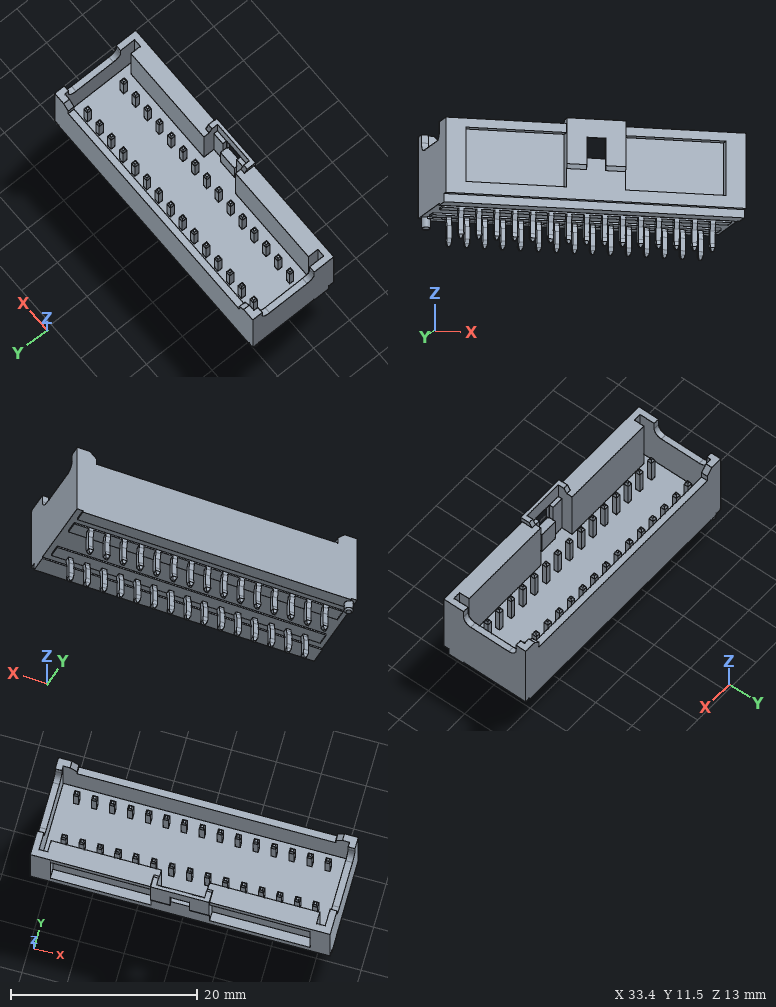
import cadquery as cq

length = 33.4
depth = 11.3
height = 9.15
floor_top = 2.57
end_wall = 0.77
back_wall = 0.8
front_wall = 2.1

underside_rise = 0.2
front_step_depth = 0.7
front_step_height = 0.9
front_bar_back = 2.75
back_rail_depth = 1.35
pin_rail_depth = 1.45
rail_end_inset = 0.67

end_notch_front = 2.75
end_notch_back = depth - 1.35
end_notch_depth = 1.95
end_notch_radius = 1.0
back_notch_depth = 1.55
back_notch_bevel = 0.77
back_notch_half_top = length / 2 - 1.55

corner_slot_width = 0.97
corner_slot_front = 0.8
panel_end_margin = 2.25
panel_bottom = 2.2
panel_top = 8.15
panel_depth = 1.05

tower_half = 3.27
tower_top = 9.75
tower_bottom = 4.2
tower_projection = 0.2
tower_bevel_height = 0.5
tower_arm_back = 1.37
tower_arm_bevel = 0.4
channel_half = 2.67
channel_front = 0.2
channel_step_back = 0.7
window_half = 1.07
window_bottom = 5.5
window_top = 7.7
sill_half = 1.17
sill_back = 1.05

pins_per_row = 15
row_length = 28.0
pin_pitch = row_length / (pins_per_row - 1)
row_spacing = 5.05
pin_width = 0.57
pin_top = 5.85
pin_tip_height = 0.35
pin_tip_width = 0.27
tail_bottom = -3.2
tail_point_top = -2.8
tail_bow_bottom = -2.35
tail_bow_top = -0.97
tail_bend_top = -0.27
tail_bow = 0.17
tail_end_shift = 0.07
back_row_y = depth - 2.37
front_row_y = back_row_y - row_spacing

peg_diameter = 1.0
peg_x = -length / 2 + 0.67
peg_y = depth - 0.75
peg_bottom = -1.15
peg_chamfer = 0.2


def block(x0, x1, y0, y1, z0, z1):
    """Box given by its limits along each axis."""
    return cq.Workplane("XY").box(x1 - x0, y1 - y0, z1 - z0, centered=False).translate((x0, y0, z0))


def extrude_along_x(points, x0, x1):
    """Extrude a closed (y, z) outline from x0 to x1."""
    return cq.Workplane("YZ").polyline(points).close().extrude(x1 - x0).translate((x0, 0, 0))


def make_shell():
    """Open tray with its rails, without the tower."""
    half = length / 2
    shell = block(-half, half, 0, depth, underside_rise, height)
    shell = shell.union(block(-half, half, 0, front_bar_back, 0, underside_rise))
    shell = shell.cut(block(-half, half, 0, front_step_depth, 0, front_step_height))
    inner_half = half - end_wall
    inner_back = depth - back_wall
    shell = shell.cut(block(-inner_half, inner_half, front_wall, inner_back, floor_top, height))

    rail_half = half - rail_end_inset
    back_pin_rail = back_row_y + pin_width / 2 - pin_rail_depth
    front_pin_rail = front_row_y - pin_width / 2
    rails = (
        (depth - back_rail_depth, back_rail_depth),
        (back_pin_rail, pin_rail_depth),
        (front_pin_rail, pin_rail_depth),
    )
    for rail_front, rail_depth in rails:
        rail = block(-rail_half, rail_half, rail_front, rail_front + rail_depth, 0, underside_rise)
        shell = shell.union(rail)
    return shell


def cut_rims(body):
    """Lower the rims of both end walls and of the back wall."""
    end_notch = block(
        -length / 2, length / 2, end_notch_front, end_notch_back, height - end_notch_depth, height
    )
    end_notch = end_notch.edges("|X and <Z").fillet(end_notch_radius)
    body = body.cut(end_notch)
    half_bottom = back_notch_half_top - back_notch_bevel
    back_notch = (
        cq.Workplane("XZ")
        .moveTo(-back_notch_half_top, height)
        .lineTo(back_notch_half_top, height)
        .lineTo(half_bottom, height - back_notch_bevel)
        .lineTo(half_bottom, height - back_notch_depth)
        .lineTo(-half_bottom, height - back_notch_depth)
        .lineTo(-half_bottom, height - back_notch_bevel)
        .close()
        .extrude(-back_wall)
        .translate((0, depth - back_wall, 0))
    )
    return body.cut(back_notch)


def cut_front_wall(body):
    """Corner slots and the sunken panels on both sides of the tower."""
    slot_outer = length / 2 - end_wall
    slot_inner = slot_outer - corner_slot_width
    panel_outer = length / 2 - panel_end_margin
    for side in (-1, 1):
        slot_limits = sorted((side * slot_inner, side * slot_outer))
        panel_limits = sorted((side * tower_half, side * panel_outer))
        body = body.cut(block(*slot_limits, corner_slot_front, front_wall, floor_top, height))
        body = body.cut(block(*panel_limits, 0, panel_depth, panel_bottom, panel_top))
    return body


def add_tower(body):
    """Tower with bevelled arms, an inner channel and a latch window."""
    outline = [
        (-tower_projection, tower_bottom + tower_bevel_height),
        (-tower_projection, tower_top),
        (tower_arm_back - tower_arm_bevel, tower_top),
        (tower_arm_back, height),
        (tower_arm_back, tower_bottom),
        (0, tower_bottom),
    ]
    body = body.union(extrude_along_x(outline, -tower_half, tower_half))

    body = body.cut(block(-channel_half, channel_half, channel_front, front_wall, window_top, tower_top))
    body = body.cut(block(-channel_half, channel_half, channel_step_back, front_wall, floor_top, window_top))
    body = body.cut(block(-sill_half, sill_half, channel_front, front_wall, window_bottom, window_top))
    body = body.union(block(-sill_half, sill_half, channel_front, sill_back, floor_top, window_bottom))

    body = body.cut(
        block(-window_half, window_half, -tower_projection, channel_front, window_bottom, window_top)
    )
    return body.cut(block(-window_half, window_half, -tower_projection, 0, tower_bottom, window_bottom))


def make_pin(x, y, inward):
    """Straight contact with a pointed top and a tail bowed towards `inward`."""
    shaft_top = pin_top - pin_tip_height
    centre_line = [
        (0, shaft_top),
        (0, tail_bend_top),
        (tail_bow, tail_bow_top),
        (tail_bow, tail_bow_bottom),
        (tail_end_shift, tail_point_top),
    ]
    half = pin_width / 2
    near_side = [(y + inward * shift - half, z) for shift, z in centre_line]
    far_side = [(y + inward * shift + half, z) for shift, z in reversed(centre_line)]
    pin = extrude_along_x(near_side + far_side, x - half, x + half)

    tail_y = y + inward * tail_end_shift
    ends = ((y, shaft_top, pin_top), (tail_y, tail_point_top, tail_bottom))
    for end_y, base_z, tip_z in ends:
        tip = (
            cq.Workplane("XY", origin=(x, end_y, base_z))
            .rect(pin_width, pin_width)
            .workplane(offset=tip_z - base_z)
            .rect(pin_tip_width, pin_tip_width)
            .loft()
        )
        pin = pin.union(tip)
    return pin


def add_pins(body):
    for row_y, inward in ((front_row_y, 1), (back_row_y, -1)):
        for index in range(pins_per_row):
            x = index * pin_pitch - row_length / 2
            body = body.union(make_pin(x, row_y, inward))
    return body


def add_peg(body):
    peg = (
        cq.Workplane("XY", origin=(peg_x, peg_y, peg_bottom))
        .circle(peg_diameter / 2)
        .extrude(floor_top - peg_bottom)
        .faces("<Z")
        .chamfer(peg_chamfer)
    )
    return body.union(peg)


result = make_shell()
result = cut_rims(result)
result = cut_front_wall(result)
result = add_tower(result)
result = add_pins(result)
result = add_peg(result)